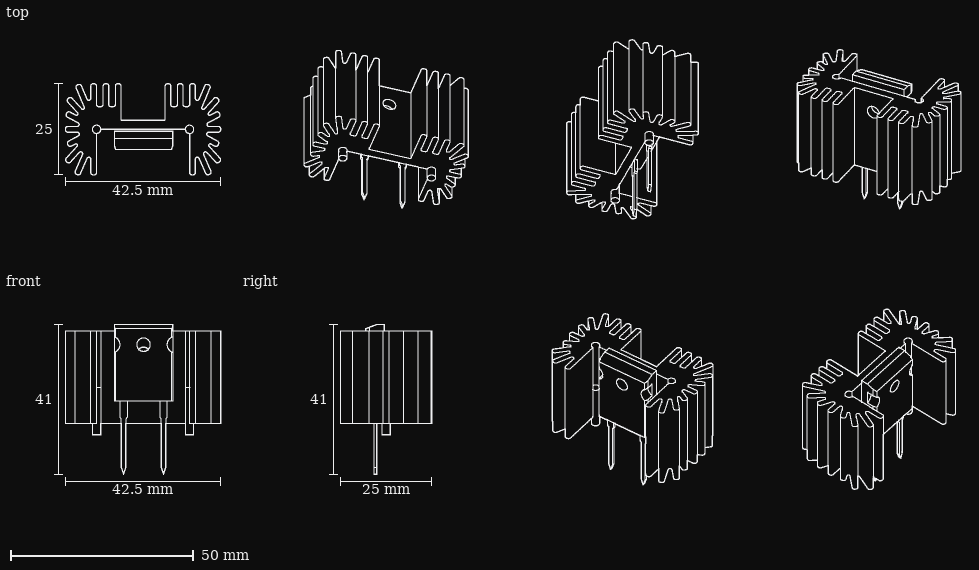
import cadquery as cq
import math

WIDTH = 42.5
DEPTH = 25.0
HEIGHT = 25.4
HUB_SPACING = 25.4
HUB_X = HUB_SPACING / 2
PLATE_THICKNESS = 2.5

FIN_WIDTH = 1.6
TIP_RADIUS = 0.7
CORNER_RADIUS = 0.5
SIDE_FIN_TIP = WIDTH / 2 - HUB_X
RADIAL_FINS = [
    (67.2, 13.25),
    (47.5, 11.48),
    (27.8, 9.3),
    (0.0, SIDE_FIN_TIP),
    (-28.2, 8.92),
    (-47.4, 12.1),
    (-66.4, 13.47),
]
NARROW_VALLEY_RADIUS = 0.4
NARROW_VALLEYS = (1, 2, 5)

FIN_PITCH = 3.35
STRAIGHT_FIN_COUNT = 3
SLOT_FLOOR_Y = 6.25

PIN_RADIUS = 1.15
PIN_TOP = 9.9
PIN_BOTTOM = -3.05

PACKAGE_X = 0.13
PACKAGE_WIDTH = 16.0
PACKAGE_BACK = -0.45
PACKAGE_FRONT = -5.55
PACKAGE_BOTTOM = 6.2
PACKAGE_TOP = 27.2
TAB_FRONT = PACKAGE_BACK - 2.05
TOP_BEVEL_DROP = 1.2
SIDE_BEVEL_WIDTH = 0.35
SIDE_BEVEL_DEPTH = 1.0

SCREW_RADIUS = 1.83
PLATE_HOLE_Z = HEIGHT - 6.35
PACKAGE_HOLE_Z = 21.65

NOTCH_RADIUS = 2.25
NOTCH_DEPTH = 1.55

LEAD_SPACING = 10.92
LEAD_WIDE = 2.05
LEAD_NARROW = 1.28
LEAD_THICKNESS = 0.8
SHOULDER_TOP = 1.8
SHOULDER_BOTTOM = 1.35
POINT_START = -11.9
LEAD_TIP = -13.85


def edge_crossing(angle_a, offset_a, angle_b, offset_b):
    """Point where two lines cross; each lies at an offset to the left of a ray from the hub axis."""
    a, b = math.radians(angle_a), math.radians(angle_b)
    turn = math.sin(b - a)
    x = (offset_a * math.cos(b) - offset_b * math.cos(a)) / turn
    y = (offset_a * math.sin(b) - offset_b * math.sin(a)) / turn
    return x, y


def fin_tip_corner(angle, tip, offset):
    """Corner of a fin tip, at an offset to the left of the fin's ray."""
    a = math.radians(angle)
    return tip * math.cos(a) - offset * math.sin(a), tip * math.sin(a) + offset * math.cos(a)


def half_outline():
    """Corners (x, y, radius) of the right half of the heat sink, clockwise from the rear of the plate."""
    half_fin = FIN_WIDTH / 2
    rear, front = DEPTH / 2, -DEPTH / 2
    inner_edge = HUB_X - (STRAIGHT_FIN_COUNT - 1) * FIN_PITCH
    corners = [(inner_edge, PLATE_THICKNESS, 0)]

    for i in range(STRAIGHT_FIN_COUNT):
        left = inner_edge + i * FIN_PITCH
        right = left + FIN_WIDTH
        corners += [(left, rear, TIP_RADIUS), (right, rear, TIP_RADIUS)]
        if i < STRAIGHT_FIN_COUNT - 1:
            corners.append((right, SLOT_FLOOR_Y, CORNER_RADIUS))
            corners.append((left + FIN_PITCH, SLOT_FLOOR_Y, CORNER_RADIUS))

    previous_angle, previous_edge = 90, -FIN_WIDTH
    for i, (angle, tip) in enumerate(RADIAL_FINS):
        x, y = edge_crossing(previous_angle, previous_edge, angle, half_fin)
        radius = NARROW_VALLEY_RADIUS if i in NARROW_VALLEYS else CORNER_RADIUS
        corners.append((HUB_X + x, y, radius))
        for side in (half_fin, -half_fin):
            x, y = fin_tip_corner(angle, tip, side)
            corners.append((HUB_X + x, y, TIP_RADIUS))
        previous_angle, previous_edge = angle, -half_fin

    x, y = edge_crossing(previous_angle, previous_edge, -90, FIN_WIDTH)
    corners.append((HUB_X + x, y, CORNER_RADIUS))
    corners.append((HUB_X + FIN_WIDTH, front, TIP_RADIUS))
    corners.append((HUB_X, front, TIP_RADIUS))
    corners.append((HUB_X, 0, 0))
    return corners


def rounded_outline(corners):
    """Closed outline through (x, y, radius) corners, each rounded by a tangent arc."""
    outline = None
    for i, (x, y, radius) in enumerate(corners):
        corner = cq.Vector(x, y)
        before = (cq.Vector(*corners[i - 1][:2]) - corner).normalized()
        after = (cq.Vector(*corners[(i + 1) % len(corners)][:2]) - corner).normalized()
        half_angle = before.getAngle(after) / 2
        setback = radius / math.tan(half_angle)
        start = corner + before * setback
        if outline is None:
            outline = cq.Workplane("XY").moveTo(start.x, start.y)
        else:
            outline = outline.lineTo(start.x, start.y)
        if radius:
            middle = corner + (before + after).normalized() * (radius / math.sin(half_angle) - radius)
            end = corner + after * setback
            outline = outline.threePointArc((middle.x, middle.y), (end.x, end.y))
    return outline.close()


def y_cylinder(x, z, radius, y_start, y_end):
    """Cylinder along Y between two Y positions."""
    return cq.Workplane("XZ", origin=(x, y_start, z)).circle(radius).extrude(y_start - y_end)


def make_heat_sink():
    right = half_outline()
    left = [(-x, y, radius) for x, y, radius in reversed(right)]
    body = rounded_outline(right + left).extrude(HEIGHT)

    hubs = [(-HUB_X, 0), (HUB_X, 0)]
    bores = cq.Workplane("XY").pushPoints(hubs).circle(PIN_RADIUS).extrude(HEIGHT)
    pins = (
        cq.Workplane("XY", origin=(0, 0, PIN_BOTTOM))
        .pushPoints(hubs)
        .circle(PIN_RADIUS)
        .extrude(PIN_TOP - PIN_BOTTOM)
    )
    screw_hole = y_cylinder(PACKAGE_X, PLATE_HOLE_Z, SCREW_RADIUS, PLATE_THICKNESS, 0)
    return body.cut(bores).union(pins).cut(screw_hole)


def make_package():
    half_width = PACKAGE_WIDTH / 2
    side_profile = [
        (PACKAGE_BACK, PACKAGE_BOTTOM),
        (PACKAGE_BACK, PACKAGE_TOP),
        (TAB_FRONT, PACKAGE_TOP),
        (PACKAGE_FRONT, PACKAGE_TOP - TOP_BEVEL_DROP),
        (PACKAGE_FRONT, PACKAGE_BOTTOM),
    ]
    body = (
        cq.Workplane("YZ", origin=(PACKAGE_X, 0, 0))
        .polyline(side_profile)
        .close()
        .extrude(half_width, both=True)
    )

    for side in (-1, 1):
        edge = PACKAGE_X + side * half_width
        bevel = [
            (edge, PACKAGE_FRONT),
            (edge - side * SIDE_BEVEL_WIDTH, PACKAGE_FRONT),
            (edge, PACKAGE_FRONT + SIDE_BEVEL_DEPTH),
        ]
        body = body.cut(cq.Workplane("XY").polyline(bevel).close().extrude(PACKAGE_TOP))
        notch_x = edge + side * (NOTCH_RADIUS - NOTCH_DEPTH)
        body = body.cut(y_cylinder(notch_x, PACKAGE_HOLE_Z, NOTCH_RADIUS, TAB_FRONT, PACKAGE_FRONT))

    return body.cut(y_cylinder(PACKAGE_X, PACKAGE_HOLE_Z, SCREW_RADIUS, PACKAGE_BACK, PACKAGE_FRONT))


def make_lead(x):
    wide, narrow = LEAD_WIDE / 2, LEAD_NARROW / 2
    outline = [
        (-wide, PACKAGE_BOTTOM),
        (-wide, SHOULDER_TOP),
        (-narrow, SHOULDER_BOTTOM),
        (-narrow, POINT_START),
        (0, LEAD_TIP),
        (narrow, POINT_START),
        (narrow, SHOULDER_BOTTOM),
        (wide, SHOULDER_TOP),
        (wide, PACKAGE_BOTTOM),
    ]
    return cq.Workplane("XZ", origin=(x, TAB_FRONT, 0)).polyline(outline).close().extrude(LEAD_THICKNESS)


def make_transistor():
    body = make_package()
    for side in (-1, 1):
        body = body.union(make_lead(PACKAGE_X + side * LEAD_SPACING / 2))
    return body


heat_sink = make_heat_sink()
transistor = make_transistor()
result = cq.Compound.makeCompound([heat_sink.val(), transistor.val()])